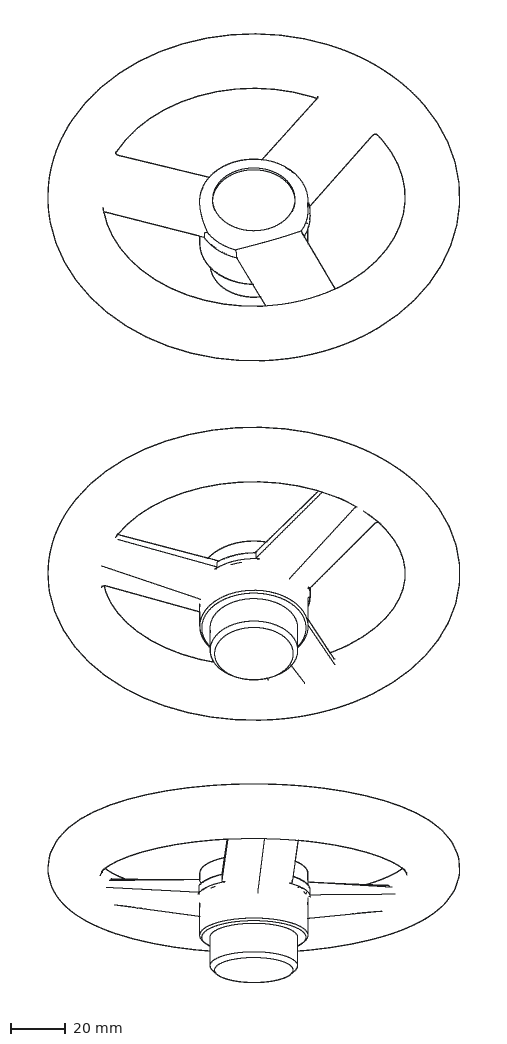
import cadquery as cq
import math

outer_diameter = 150
tube_diameter = 20.0
overall_height = 49.0
tube_radius = tube_diameter / 2
rim_radius = outer_diameter / 2 - tube_radius
rim_height = overall_height - tube_radius

spigot_diameter = 32.0
spigot_length = 12.6
spigot_chamfer = 1.6
hub_radius = 39.5 / 2
hub_top = 38.0
hub_bottom_chamfer = 0.7
hub_top_fillet = 0.9
recess_diameter = 30
recess_depth = 1.0

spoke_count = 3
spoke_spacing = 360 / spoke_count
spoke_width = 25.6
spoke_start = 13.5
spoke_end = rim_radius - 3
upper_edge_fillet = 0.7

inner_radius = hub_radius
crown_inner = 36.9
upper_edge_inner = 32.2
lower_edge_inner = 29.1
keel_inner = 23.2
outer_radius = 54
crown_outer = 41.8
upper_edge_outer = 38.4
lower_edge_outer = 35.8
keel_outer = 32.7

collar_radius = 20.5
collar_bottom = 28.0
collar_top = 31.3

hub_joint_fillet = 0.6
rim_joint_fillet = 1.3
selection_margin = 0.01


def turned(body, angle):
    """Body rotated about the hub axis."""
    return body.rotate((0, 0, 0), (0, 0, 1), angle)


def make_rim():
    tube = cq.Workplane("XZ").center(rim_radius, rim_height).circle(tube_radius)
    return tube.revolve(360, (-rim_radius, 0), (-rim_radius, 1))


def make_hub():
    spigot = cq.Workplane("XY").circle(spigot_diameter / 2).extrude(hub_top / 2)
    spigot = spigot.faces("<Z").chamfer(spigot_chamfer)
    hub = cq.Workplane("XY").workplane(offset=spigot_length).circle(hub_radius)
    hub = hub.extrude(hub_top - spigot_length)
    hub = hub.faces("<Z").chamfer(hub_bottom_chamfer)
    return hub.union(spigot)


def make_collar():
    collar = cq.Workplane("XY").workplane(offset=collar_bottom).circle(collar_radius)
    collar = collar.extrude(collar_top - collar_bottom)
    return collar.faces(">Z").edges().fillet(upper_edge_fillet)


def spoke_section(x):
    """Outline of the spoke at distance x from the hub axis; every height changes linearly with x."""
    share = (x - inner_radius) / (outer_radius - inner_radius)
    crown = crown_inner + share * (crown_outer - crown_inner)
    upper_edge = upper_edge_inner + share * (upper_edge_outer - upper_edge_inner)
    lower_edge = lower_edge_inner + share * (lower_edge_outer - lower_edge_inner)
    keel = keel_inner + share * (keel_outer - keel_inner)
    half_width = spoke_width / 2
    outline = (
        cq.Workplane("YZ", origin=(x, 0, 0))
        .moveTo(-half_width, lower_edge)
        .lineTo(0, keel)
        .lineTo(half_width, lower_edge)
        .lineTo(half_width, upper_edge)
        .threePointArc((0, crown), (-half_width, upper_edge))
        .close()
    )
    return outline.val()


def make_spoke():
    sections = [spoke_section(spoke_start), spoke_section(spoke_end)]
    spoke = cq.Workplane(cq.Solid.makeLoft(sections, True))
    side_edges = spoke.faces("<Y or >Y").edges("not |Z")
    upper_edges = side_edges.sort(lambda edge: edge.Center().z)[-2:]
    return upper_edges.fillet(upper_edge_fillet)


def round_hub_top(body):
    box_corner = (-selection_margin, -selection_margin, hub_top - selection_margin)
    opposite_corner = (selection_margin, selection_margin, hub_top + selection_margin)
    top_face = body.faces(cq.selectors.BoxSelector(box_corner, opposite_corner))
    return top_face.edges().fillet(hub_top_fillet)


def make_recess():
    recess = cq.Workplane("XY").workplane(offset=hub_top - recess_depth)
    return recess.circle(recess_diameter / 2).extrude(recess_depth)


def edges_in_ring(body, r_min, r_max, z_min, z_max):
    """Edges that lie wholly between two radii and two heights."""

    def inside(point):
        return r_min <= math.hypot(point.x, point.y) <= r_max and z_min <= point.z <= z_max

    samples = (0, 0.25, 0.5, 0.75, 1)
    return body.edges().filter(lambda edge: all(inside(point) for point in edge.positions(samples)))


hub = turned(make_hub(), spoke_spacing / 2)
rim = turned(make_rim(), spoke_spacing / 2)
web = turned(make_collar(), spoke_spacing / 2)
spoke = make_spoke()
for i in range(spoke_count):
    web = web.union(turned(spoke, i * spoke_spacing))

result = hub.union(web)
hub_joint = edges_in_ring(
    result,
    hub_radius - selection_margin,
    hub_radius + selection_margin,
    keel_inner - selection_margin,
    lower_edge_inner,
)
result = hub_joint.fillet(hub_joint_fillet)

result = result.union(rim)
rim_joint = edges_in_ring(result, outer_radius, rim_radius, keel_outer, crown_outer + tube_radius)
result = rim_joint.fillet(rim_joint_fillet)

result = round_hub_top(result)
result = result.cut(make_recess())